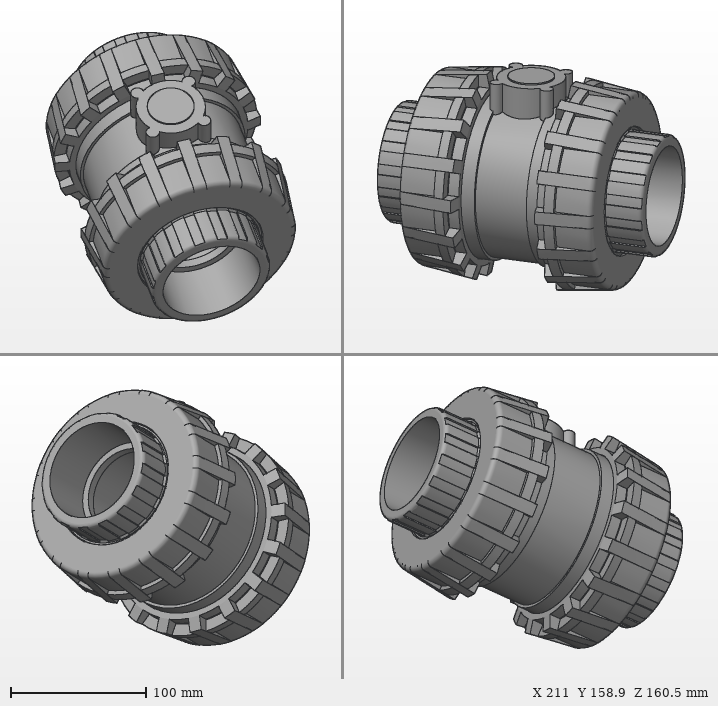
import cadquery as cq

LENGTH = 211.0
WIDTH = 158.9
HEIGHT = 160.5

BORE_DIAMETER = 65.0
BODY_DIAMETER = 122.8
BODY_END_DIAMETER = 127.5
BODY_WAIST_HALF = 20.7
BODY_HALF_LENGTH = 54.9

TAG_DIAMETER = 34.8
TAG_THICKNESS = 1.0
TAG_TOP = HEIGHT - WIDTH / 2
BOSS_TOP = TAG_TOP - TAG_THICKNESS
BOSS_DIAMETER = 51.3
BOSS_ROOT = 42.2
LOBE_DIAMETER = 10.0
LOBE_OFFSET = 19.8

RIB_COUNT = 16
RIB_WIDTH = 10.0

NUT_FACE = 76.5
NUT_CORNER = 72.5
NUT_BAND_OUTER = 47.5
NUT_BAND_INNER = 39.9
NUT_RIB_TIP = 33.3
NUT_END = 31.0
NUT_SHOULDER = 65.5
NUT_FACE_RADIUS = 70.5
NUT_SKIN_RADIUS = 74.3
NUT_RIB_START_RADIUS = 74.5
NUT_RIB_TIP_RADIUS = WIDTH / 2
NUT_BAND_OUTER_RADIUS = 77.5
NUT_BAND_INNER_RADIUS = 78.5
NUT_BAND_FOOT = 0.5
NUT_SKIRT_RADIUS = 69.0
NUT_CAVITY_DIAMETER = 128.0
NUT_OPENING_DIAMETER = 97.0

CONNECTOR_FACE = LENGTH / 2
CONNECTOR_FLANGE_DIAMETER = 112.5
CONNECTOR_NECK_DIAMETER = 96.0
CONNECTOR_NECK_END = 75.0
CONNECTOR_TAPER_ROOT_RADIUS = 46.5
CONNECTOR_TAPER_END = 76.4
CONNECTOR_RIB_RADIUS = 45.8
CONNECTOR_FLOOR_RADIUS = 44.7
CONNECTOR_RIM_RADIUS = 42.6
CONNECTOR_RIM_CORNER = 102.1
SOCKET_DIAMETER = 75.0
SOCKET_STOP = 61.6


def x_cylinder(diameter, start, end):
    """Solid cylinder on the flow axis between two X positions."""
    return cq.Workplane("YZ").workplane(offset=start).circle(diameter / 2).extrude(end - start)


def revolve_about_x(profile):
    """Full turn of a closed XZ profile around the flow axis."""
    return profile.revolve(360, (0, 0, 0), (1, 0, 0))


def rib_sectors(start, end, reach):
    """Radial slabs of rib width, evenly spaced around the flow axis."""
    sectors = cq.Workplane("XY")
    for index in range(RIB_COUNT):
        slab = (
            cq.Workplane("XY")
            .box(end - start, RIB_WIDTH, reach, centered=(False, True, False))
            .translate((start, 0, 0))
            .rotate((0, 0, 0), (1, 0, 0), index * 360 / RIB_COUNT)
        )
        sectors = sectors.union(slab)
    return sectors


def make_body():
    """Ported body with two raised ends and a lobed boss on top."""
    body = x_cylinder(BODY_DIAMETER, -BODY_HALF_LENGTH, BODY_HALF_LENGTH)
    for start, end in ((-BODY_HALF_LENGTH, -BODY_WAIST_HALF), (BODY_WAIST_HALF, BODY_HALF_LENGTH)):
        body = body.union(x_cylinder(BODY_END_DIAMETER, start, end))
    boss_base = cq.Workplane("XY").workplane(offset=BOSS_ROOT)
    boss_height = BOSS_TOP - BOSS_ROOT
    boss = boss_base.circle(BOSS_DIAMETER / 2).extrude(boss_height)
    lobes = (
        boss_base.rect(2 * LOBE_OFFSET, 2 * LOBE_OFFSET, forConstruction=True)
        .vertices()
        .circle(LOBE_DIAMETER / 2)
        .extrude(boss_height)
    )
    body = body.union(boss).union(lobes)
    return body.cut(x_cylinder(BORE_DIAMETER, -BODY_HALF_LENGTH, BODY_HALF_LENGTH))


def make_tag():
    """Thin round tag on top of the boss."""
    return cq.Workplane("XY").workplane(offset=BOSS_TOP).circle(TAG_DIAMETER / 2).extrude(TAG_THICKNESS)


def make_nut():
    """Union nut on the +X end: a stepped shell with tapered grip ribs."""
    shell = revolve_about_x(
        cq.Workplane("XZ")
        .moveTo(NUT_END, 0)
        .lineTo(NUT_FACE, 0)
        .lineTo(NUT_FACE, NUT_FACE_RADIUS)
        .tangentArcPoint((NUT_CORNER, NUT_SKIN_RADIUS), relative=False)
        .lineTo(NUT_BAND_OUTER, NUT_SKIN_RADIUS)
        .lineTo(NUT_BAND_OUTER, NUT_BAND_OUTER_RADIUS)
        .lineTo(NUT_BAND_INNER, NUT_BAND_INNER_RADIUS)
        .lineTo(NUT_BAND_INNER, NUT_SKIRT_RADIUS + NUT_BAND_FOOT)
        .lineTo(NUT_BAND_INNER - NUT_BAND_FOOT, NUT_SKIRT_RADIUS)
        .lineTo(NUT_END, NUT_SKIRT_RADIUS)
        .close()
    )
    rib_ring = revolve_about_x(
        cq.Workplane("XZ")
        .moveTo(NUT_END, 0)
        .lineTo(NUT_FACE, 0)
        .lineTo(NUT_FACE, NUT_FACE_RADIUS)
        .tangentArcPoint((NUT_CORNER, NUT_RIB_START_RADIUS), relative=False)
        .lineTo(NUT_RIB_TIP, NUT_RIB_TIP_RADIUS)
        .lineTo(NUT_END, NUT_SKIRT_RADIUS)
        .close()
    )
    ribs = rib_ring.intersect(rib_sectors(NUT_END, NUT_FACE, WIDTH))
    nut = shell.union(ribs)
    nut = nut.cut(x_cylinder(NUT_CAVITY_DIAMETER, NUT_END, NUT_SHOULDER))
    return nut.cut(x_cylinder(NUT_OPENING_DIAMETER, NUT_SHOULDER, NUT_FACE))


def connector_barrel():
    """Neck and tapered step, then a smooth barrel with a rounded outer rim."""
    return revolve_about_x(
        cq.Workplane("XZ")
        .moveTo(NUT_SHOULDER, 0)
        .lineTo(CONNECTOR_FACE, 0)
        .lineTo(CONNECTOR_FACE, CONNECTOR_RIM_RADIUS)
        .tangentArcPoint((CONNECTOR_RIM_CORNER, CONNECTOR_RIB_RADIUS), relative=False)
        .lineTo(CONNECTOR_TAPER_END, CONNECTOR_RIB_RADIUS)
        .lineTo(CONNECTOR_NECK_END, CONNECTOR_TAPER_ROOT_RADIUS)
        .lineTo(CONNECTOR_NECK_END, CONNECTOR_NECK_DIAMETER / 2)
        .lineTo(NUT_SHOULDER, CONNECTOR_NECK_DIAMETER / 2)
        .close()
    )


def connector_grooves():
    """Shallow grooves between the connector ribs, each with a sloped inner end."""
    groove_ring = revolve_about_x(
        cq.Workplane("XZ")
        .moveTo(CONNECTOR_TAPER_END, CONNECTOR_FLOOR_RADIUS)
        .lineTo(CONNECTOR_FACE, CONNECTOR_FLOOR_RADIUS)
        .lineTo(CONNECTOR_FACE, CONNECTOR_TAPER_ROOT_RADIUS)
        .lineTo(CONNECTOR_NECK_END, CONNECTOR_TAPER_ROOT_RADIUS)
        .close()
    )
    return groove_ring.cut(rib_sectors(CONNECTOR_NECK_END, CONNECTOR_FACE, WIDTH))


def make_connector():
    """Ribbed socket connector on the +X end, held by its flange inside the nut."""
    flange = x_cylinder(CONNECTOR_FLANGE_DIAMETER, BODY_HALF_LENGTH, NUT_SHOULDER)
    connector = connector_barrel().cut(connector_grooves()).union(flange)
    connector = connector.cut(x_cylinder(SOCKET_DIAMETER, SOCKET_STOP, CONNECTOR_FACE))
    return connector.cut(x_cylinder(BORE_DIAMETER, BODY_HALF_LENGTH, SOCKET_STOP))


def at_both_ends(part):
    """Copies of a +X end part for the +X end and the -X end."""
    return [part.val(), part.mirror("YZ").val()]


body = make_body()
tag = make_tag()
nuts = at_both_ends(make_nut())
connectors = at_both_ends(make_connector())

result = cq.Compound.makeCompound([body.val(), tag.val(), *nuts, *connectors])